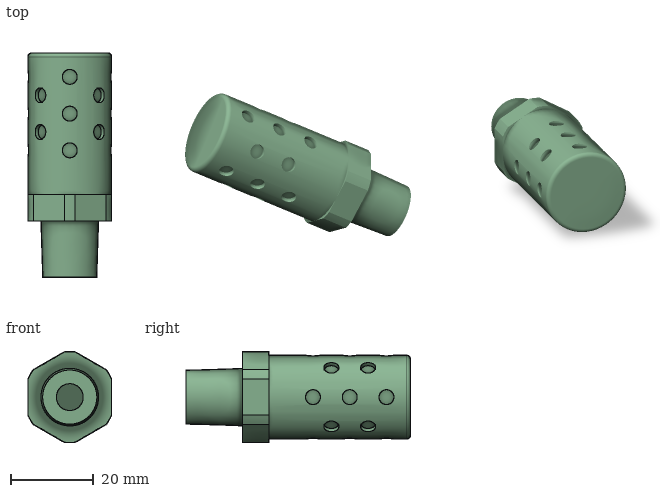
import cadquery as cq
import math


TOTAL_LENGTH = 54.36
STUB_LENGTH = 13.65
HEX_LENGTH = 6.4
BODY_START = STUB_LENGTH + HEX_LENGTH
BODY_LENGTH = TOTAL_LENGTH - BODY_START

BODY_DIAMETER = 20.32
END_FILLET = 1.0
HEX_ACROSS_FLATS = BODY_DIAMETER
HEX_CORNER_DIAMETER = 22.09

STUB_BASE_DIAMETER = 13.96
PIPE_TAPER = 1 / 16
STUB_TIP_DIAMETER = STUB_BASE_DIAMETER - STUB_LENGTH * PIPE_TAPER

BORE_DIAMETER = 6.5
BORE_DEPTH = BODY_START

VENT_DIAMETER = 3.6
VENT_FLOOR_RADIUS = 8.95
VENT_PITCH = 8.89
VENT_ROWS = 8
LONG_ROW_COUNT = 3
SHORT_ROW_COUNT = LONG_ROW_COUNT - 1
VENT_END_DISTANCE = 5.83
VENT_FIRST_Y = TOTAL_LENGTH - VENT_END_DISTANCE


def cylinder(diameter, start_y, length):
    """Cylinder on the Y axis."""
    return cq.Workplane("XZ", origin=(0, start_y, 0)).circle(diameter / 2).extrude(-length)


def make_body():
    """Round body with a rounded edge at its closed end."""
    return cylinder(BODY_DIAMETER, BODY_START, BODY_LENGTH).faces(">Y").edges().fillet(END_FILLET)


def make_hex():
    """Hex with flats on +X and -X and its corners turned down to a cylinder."""
    across_corners = HEX_ACROSS_FLATS / math.cos(math.pi / 6)
    hexagon = (
        cq.Workplane("XZ", origin=(0, STUB_LENGTH, 0))
        .transformed(rotate=(0, 0, 90))
        .polygon(6, across_corners)
        .extrude(-HEX_LENGTH)
    )
    return hexagon.intersect(cylinder(HEX_CORNER_DIAMETER, STUB_LENGTH, HEX_LENGTH))


def make_stub():
    """Conical stub, narrower at the tip."""
    base_radius = STUB_BASE_DIAMETER / 2
    tip_radius = STUB_TIP_DIAMETER / 2
    profile = [(0, 0), (tip_radius, 0), (base_radius, STUB_LENGTH), (0, STUB_LENGTH)]
    return cq.Workplane("XY").polyline(profile).close().revolve(360, (0, 0, 0), (0, 1, 0))


def make_vent_row(count, first_y, angle):
    """Blind flat-bottomed holes along Y, turned about the Y axis from the +Z side."""
    positions = [(0, first_y - i * VENT_PITCH) for i in range(count)]
    row = (
        cq.Workplane("XY", origin=(0, 0, VENT_FLOOR_RADIUS))
        .pushPoints(positions)
        .circle(VENT_DIAMETER / 2)
        .extrude(BODY_DIAMETER / 2)
    )
    return row.rotate((0, 0, 0), (0, 1, 0), angle)


def cut_vents(part):
    """Cut all vent rows; the short rows sit half a pitch off the long rows."""
    for row in range(VENT_ROWS):
        angle = row * 360 / VENT_ROWS
        if row % 2 == 0:
            vents = make_vent_row(LONG_ROW_COUNT, VENT_FIRST_Y, angle)
        else:
            vents = make_vent_row(SHORT_ROW_COUNT, VENT_FIRST_Y - VENT_PITCH / 2, angle)
        part = part.cut(vents)
    return part


solid = make_body().union(make_hex()).union(make_stub())
solid = solid.cut(cylinder(BORE_DIAMETER, 0, BORE_DEPTH))
result = cut_vents(solid)